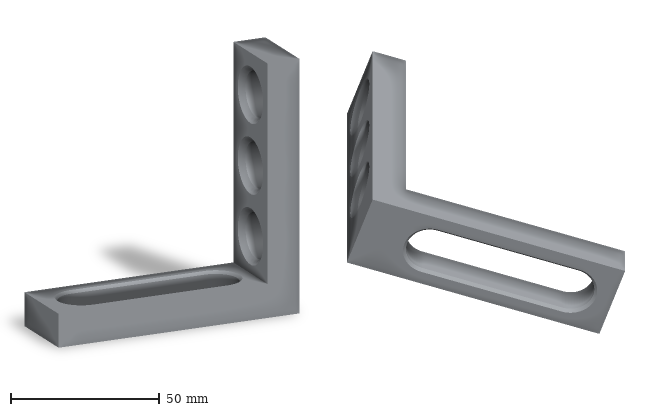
import cadquery as cq

leg_length = 90.0
width = 27.0
thickness = 12.0

hole_diameter = 16.0
hole_chamfer = 2.0
hole_pitch = 25.0
hole_count = 3

slot_width = 16.0
slot_length = 66.2
slot_chamfer = 1.0
slot_end_margin = 6.8


def make_bracket():
    """L profile in the YZ plane, centred on X, with its outer corner at +Y, Z = 0."""
    base = cq.Workplane("XY").box(width, leg_length, thickness, centered=(True, False, False))
    upright = (
        cq.Workplane("XY")
        .box(width, thickness, leg_length, centered=(True, False, False))
        .translate((0, leg_length - thickness, 0))
    )
    return base.union(upright)


def make_hole_cutter(height):
    """Round hole along Y, widened by a chamfer at both faces of the upright."""
    inner_face_y = leg_length - thickness
    radius = hole_diameter / 2
    mouth_radius = radius + hole_chamfer
    profile = (
        cq.Workplane("XY")
        .moveTo(0, inner_face_y)
        .lineTo(mouth_radius, inner_face_y)
        .lineTo(radius, inner_face_y + hole_chamfer)
        .lineTo(radius, leg_length - hole_chamfer)
        .lineTo(mouth_radius, leg_length)
        .lineTo(0, leg_length)
        .close()
    )
    return profile.revolve(360, (0, 0, 0), (0, 1, 0)).translate((0, 0, height))


def make_slot_mouth(face_z, inward):
    """Slot-shaped 45 degree chamfer, narrowing from a face into the base (inward is +1 or -1)."""
    center_y = slot_end_margin + slot_length / 2
    flare = 2 * slot_chamfer
    return (
        cq.Workplane(cq.Plane((0, center_y, face_z), (1, 0, 0), (0, 0, inward)))
        .slot2D(slot_length + flare, slot_width + flare, 90)
        .extrude(slot_chamfer, taper=45)
    )


def make_slot_cutter():
    """Round-ended slot through the base, widened by a chamfer at both faces."""
    through = (
        cq.Workplane("XY")
        .center(0, slot_end_margin + slot_length / 2)
        .slot2D(slot_length, slot_width, 90)
        .extrude(thickness)
    )
    return through.union(make_slot_mouth(0, 1)).union(make_slot_mouth(thickness, -1))


result = make_bracket().cut(make_slot_cutter())
for index in range(hole_count):
    result = result.cut(make_hole_cutter((index + 1) * hole_pitch))